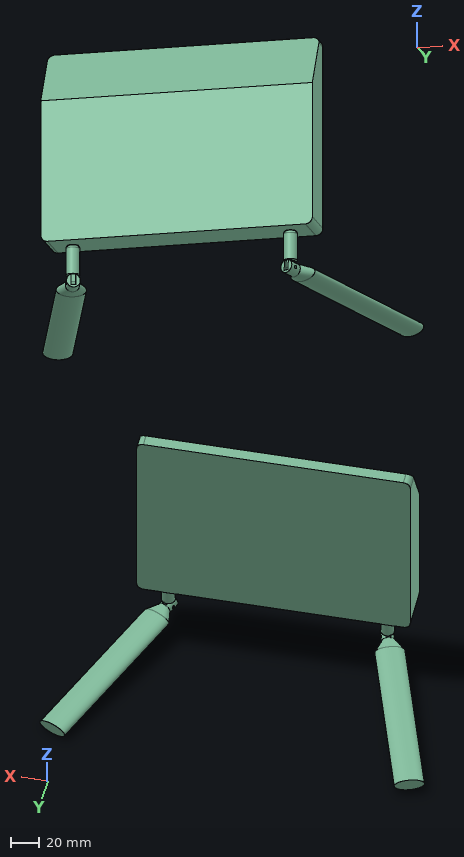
import cadquery as cq


HOUSING_WIDTH = 199.8
HOUSING_DEPTH = 32.0
HOUSING_HEIGHT = 144.8
CORNER_RADIUS = 5.0
TOP_FLAT_DEPTH = 9.3
SLOPE_HEIGHT = 40.0

STUD_SPACING = 160.0
STUD_RADIUS = 4.0
STUD_LENGTH = 10.2

STEM_RADIUS = 5.0
STEM_TOP_ROUNDING = 2.3
STEM_BOTTOM = 21.7
PIVOT_DROP = 27.5
TONGUE_RADIUS = 3.0
TONGUE_THICKNESS = 3.5
PIN_RADIUS = 1.0
PIN_LENGTH = 9.0

FORK_RADIUS = 5.0
FORK_BACK = 5.0
FORK_FRONT = 4.8
NECK_END = 14.0
BLADE_END = 140.3
BLADE_WIDTH = 22.0
BLADE_THICKNESS = 10.7

ANTENNAS = [
    (-1, 18.2, 5),
    (1, -24.6, 5.8),
]


def make_housing():
    """Box with rounded corners, a sloped upper front and two studs."""
    body = (
        cq.Workplane("XY")
        .box(HOUSING_WIDTH, HOUSING_DEPTH, HOUSING_HEIGHT, centered=(True, True, False))
        .edges("|Y").fillet(CORNER_RADIUS)
    )
    front = -HOUSING_DEPTH / 2
    slope = (
        cq.Workplane("YZ")
        .moveTo(front, HOUSING_HEIGHT)
        .lineTo(HOUSING_DEPTH / 2 - TOP_FLAT_DEPTH, HOUSING_HEIGHT)
        .lineTo(front, HOUSING_HEIGHT - SLOPE_HEIGHT)
        .close()
        .extrude(HOUSING_WIDTH / 2, both=True)
    )
    studs = (
        cq.Workplane("XY")
        .rarray(STUD_SPACING, 2.8, 2, 1)
        .circle(STUD_RADIUS)
        .extrude(-STUD_LENGTH)
    )
    return body.cut(slope).union(studs)


def make_pin():
    """Pivot pin along X, centred on the hinge axis."""
    return cq.Workplane("YZ").circle(PIN_RADIUS).extrude(PIN_LENGTH / 2, both=True)


def make_stem():
    """Upright stem, rounded at the top, with its hinge axis along X through the origin."""
    sleeve = (
        cq.Workplane("XY", origin=(0, 0, PIVOT_DROP - STEM_BOTTOM))
        .circle(STEM_RADIUS)
        .extrude(STEM_BOTTOM)
        .faces(">Z").edges().fillet(STEM_TOP_ROUNDING)
    )
    socket = (
        cq.Workplane("XY", origin=(0, 0, PIVOT_DROP - STUD_LENGTH))
        .circle(STUD_RADIUS)
        .extrude(STUD_LENGTH)
    )
    tongue = (
        cq.Workplane("YZ")
        .moveTo(-TONGUE_RADIUS, PIVOT_DROP - STEM_BOTTOM)
        .lineTo(-TONGUE_RADIUS, 0)
        .threePointArc((0, -TONGUE_RADIUS), (TONGUE_RADIUS, 0))
        .lineTo(TONGUE_RADIUS, PIVOT_DROP - STEM_BOTTOM)
        .close()
        .extrude(TONGUE_THICKNESS / 2, both=True)
    )
    return sleeve.cut(socket).union(tongue).union(make_pin())


def section_plane(distance):
    """Plane across the antenna at a distance along +Y, with local X = -X and local Y = Z."""
    return cq.Plane(origin=(0, distance, 0), xDir=(-1, 0, 0), normal=(0, 1, 0))


def make_antenna():
    """Antenna lying along +Y with its hinge axis along X through the origin."""
    fork = (
        cq.Workplane(section_plane(-FORK_BACK))
        .circle(FORK_RADIUS)
        .extrude(FORK_BACK + FORK_FRONT)
    )
    neck = (
        cq.Workplane(section_plane(FORK_FRONT))
        .circle(FORK_RADIUS)
        .workplane(offset=NECK_END - FORK_FRONT)
        .ellipse(BLADE_WIDTH / 2, BLADE_THICKNESS / 2)
        .loft()
    )
    blade = (
        cq.Workplane(section_plane(NECK_END))
        .ellipse(BLADE_WIDTH / 2, BLADE_THICKNESS / 2)
        .extrude(BLADE_END - NECK_END)
    )
    slot = (
        cq.Workplane("XY", origin=(0, 0, -TONGUE_RADIUS))
        .center(0, (FORK_FRONT - FORK_BACK) / 2)
        .rect(TONGUE_THICKNESS, FORK_FRONT + FORK_BACK)
        .extrude(TONGUE_RADIUS + FORK_RADIUS)
    )
    return fork.union(neck).union(blade).cut(slot).cut(make_pin())


def hinge_point(side):
    return (side * STUD_SPACING / 2, 0, -PIVOT_DROP)


def place_stem(side, swing):
    return make_stem().rotate((0, 0, 0), (0, 0, 1), swing).translate(hinge_point(side))


def place_antenna(side, swing, droop):
    drooped = make_antenna().rotate((0, 0, 0), (1, 0, 0), -droop)
    return drooped.rotate((0, 0, 0), (0, 0, 1), swing).translate(hinge_point(side))


housing = make_housing()
stems = [place_stem(side, swing) for side, swing, _ in ANTENNAS]
antennas = [place_antenna(side, swing, droop) for side, swing, droop in ANTENNAS]

bodies = [housing, *stems, *antennas]
result = cq.Compound.makeCompound([body.val() for body in bodies])